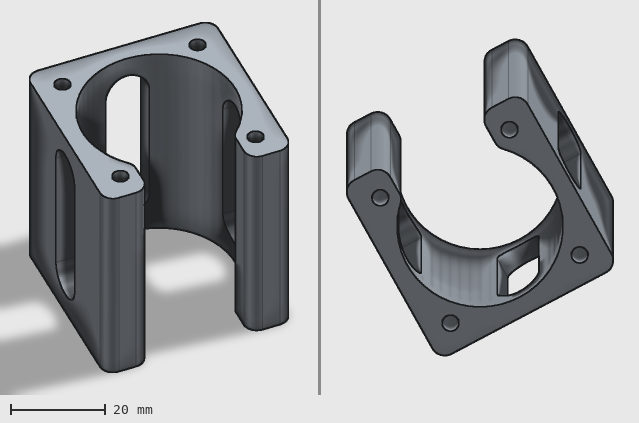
import cadquery as cq
import math

side = 43.0
height = 50.0
corner_radius = 3.0

bore_diameter = 35.0
mouth_width = 23.0
lip_radius = 3.0

hole_diameter = 3.5
hole_pitch = 31.0

slot_width = 10.0
slot_length = 40.0

pick_margin = 0.5


def upright_edges_in(x, y_reach):
    """Selector for edges at the given X, within y_reach of the XZ plane."""
    return cq.selectors.BoxSelector(
        (x - pick_margin, -y_reach - pick_margin, -height),
        (x + pick_margin, y_reach + pick_margin, height),
    )


def clamp_body():
    """Square block with a bore, open on the +X side, all vertical edges rounded."""
    block = cq.Workplane("XY").box(side, side, height)
    bore = cq.Workplane("XY").cylinder(height, bore_diameter / 2)
    mouth = cq.Workplane("XY").box(side / 2, mouth_width, height).translate((side / 4, 0, 0))
    body = block.cut(bore.union(mouth))

    outer_corners = upright_edges_in(side / 2, side / 2) + upright_edges_in(-side / 2, side / 2)
    body = body.edges("|Z").edges(outer_corners).fillet(corner_radius)

    lip_x = math.sqrt((bore_diameter / 2) ** 2 - (mouth_width / 2) ** 2)
    lips = upright_edges_in(lip_x, mouth_width / 2)
    return body.edges("|Z").edges(lips).fillet(lip_radius)


def screw_holes():
    """Four through holes parallel to Z, one near each corner."""
    return (
        cq.Workplane("XY", origin=(0, 0, -height / 2))
        .rect(hole_pitch, hole_pitch, forConstruction=True)
        .vertices()
        .circle(hole_diameter / 2)
        .extrude(height)
    )


def upright_slot(plane):
    """Vertical slot running through the whole block, normal to the given plane."""
    return (
        cq.Workplane(plane)
        .slot2D(slot_length, slot_width, 90)
        .extrude(side / 2, both=True)
    )


result = clamp_body().cut(screw_holes())
for plane in ("XZ", "YZ"):
    result = result.cut(upright_slot(plane))